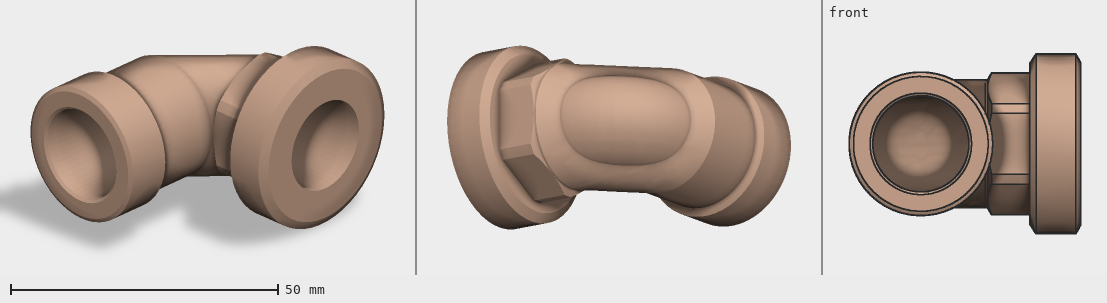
import cadquery as cq
import math

pipe_diameter = 24.0
pipe_radius = pipe_diameter / 2
bore_diameter = 18.0
bore_radius = bore_diameter / 2

leg_start = 12.1

dome_radius = bore_radius

inlet_end = 35.0
collar_diameter = 26.9
collar_radius = collar_diameter / 2
collar_length = 9.85
collar_back_chamfer = 0.8
collar_mouth_chamfer = 0.85
collar_mouth_chamfer_length = 0.45
bore_mouth_chamfer = 0.5

hex_start = 12.5
hex_across_flats = pipe_diameter
hex_corner_diameter = 26.6
hex_corner_radius = hex_corner_diameter / 2

outlet_end = 29.95
flange_diameter = 33.7
flange_radius = flange_diameter / 2
flange_thickness = 9.55
flange_start = outlet_end - flange_thickness
flange_back_chamfer = 1.15
flange_back_chamfer_depth = 1.75
flange_face_chamfer = 1.0

chamfer_slope = math.tan(math.radians(30))


def revolve_inlet(profile):
    """Turn (radius, y) points about the Y axis."""
    return cq.Workplane("XY").polyline(profile).close().revolve(360, (0, 0), (0, 1))


def revolve_outlet(profile):
    """Turn (x, radius) points about the X axis."""
    return cq.Workplane("XY").polyline(profile).close().revolve(360, (0, 0), (1, 0))


def oblique_link(radius):
    """Oblique cylinder joining round leg sections of the given radius at 45 degrees."""
    start = cq.Wire.makeCircle(radius, cq.Vector(0, -leg_start, 0), cq.Vector(0, 1, 0))
    travel = cq.Vector(pipe_diameter, pipe_diameter, 0)
    prism = cq.Workplane(cq.Solid.extrudeLinear(start, [], travel))
    beyond_outlet = cq.Workplane("XY").box(
        2 * pipe_diameter, 4 * pipe_diameter, 2 * pipe_diameter
    ).translate((leg_start + pipe_diameter, 0, 0))
    return prism.cut(beyond_outlet)


def make_inlet():
    back = collar_length - inlet_end
    return revolve_inlet([
        (0, -leg_start),
        (pipe_radius, -leg_start),
        (pipe_radius, back),
        (collar_radius, back - collar_back_chamfer),
        (collar_radius, collar_mouth_chamfer_length - inlet_end),
        (collar_radius - collar_mouth_chamfer, -inlet_end),
        (0, -inlet_end),
    ])


def make_bend():
    """Quarter torus that bulges from the outer side of the oblique link."""
    dome = (
        cq.Workplane("XZ", origin=(0, -leg_start, 0))
        .circle(dome_radius)
        .revolve(90, (leg_start, 0), (leg_start, -1))
    )
    return oblique_link(pipe_radius).union(dome)


def make_hexagon():
    corner_chamfer = (hex_corner_radius - pipe_radius) * chamfer_slope
    blank = revolve_outlet([
        (hex_start, 0),
        (hex_start, pipe_radius),
        (hex_start + corner_chamfer, hex_corner_radius),
        (flange_start, hex_corner_radius),
        (flange_start, 0),
    ])
    across_corners = hex_across_flats / math.cos(math.radians(30))
    prism = (
        cq.Workplane("YZ", origin=(hex_start, 0, 0))
        .transformed(rotate=(0, 0, 90))
        .polygon(6, across_corners)
        .extrude(flange_start - hex_start)
    )
    return blank.intersect(prism)


def make_flange():
    return revolve_outlet([
        (flange_start, 0),
        (flange_start, flange_radius - flange_back_chamfer_depth),
        (flange_start + flange_back_chamfer, flange_radius),
        (outlet_end - flange_face_chamfer, flange_radius),
        (outlet_end, flange_radius - flange_face_chamfer / chamfer_slope),
        (outlet_end, 0),
    ])


def make_outlet():
    neck = (
        cq.Workplane("YZ", origin=(leg_start, 0, 0))
        .circle(pipe_radius)
        .extrude(hex_start - leg_start)
    )
    return neck.union(make_hexagon()).union(make_flange())


def make_bore():
    """Straight bores in both legs, joined by an oblique passage."""
    inlet_bore = revolve_inlet([
        (0, -leg_start),
        (bore_radius, -leg_start),
        (bore_radius, bore_mouth_chamfer - inlet_end),
        (bore_radius + bore_mouth_chamfer, -inlet_end),
        (0, -inlet_end),
    ])
    outlet_bore = (
        cq.Workplane("YZ", origin=(leg_start, 0, 0))
        .circle(bore_radius)
        .extrude(outlet_end - leg_start)
    )
    return inlet_bore.union(oblique_link(bore_radius)).union(outlet_bore)


result = make_inlet().union(make_bend()).union(make_outlet()).cut(make_bore())